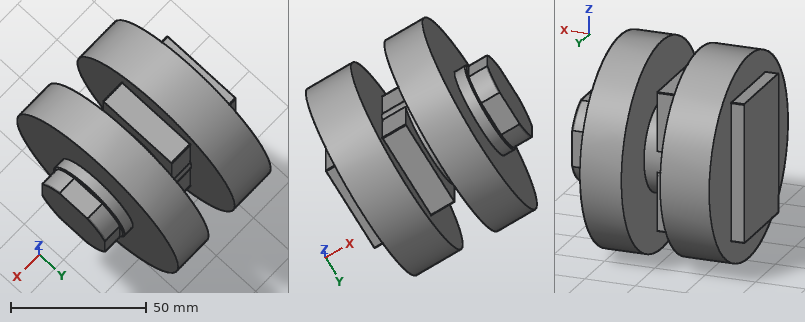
import cadquery as cq

OVERALL_LENGTH = 69.0
ORIGIN_X = -OVERALL_LENGTH / 2

BLOCK_LENGTH = 34.5
BLOCK_WIDTH = 35.0
BLOCK_HEIGHT = 55.0
BLOCK_EDGE_CHAMFER = 0.3

FRONT_DISC_START = 5.0
FRONT_DISC_THICKNESS = 19.5
FRONT_DISC_DIAMETER = 80.0

REAR_DISC_START = 39.5
REAR_DISC_THICKNESS = 16.5
REAR_DISC_DIAMETER = 82.0

BARREL_DIAMETER = 36.0
BARREL_START = FRONT_DISC_START + FRONT_DISC_THICKNESS
BARREL_END = 60.9
BARREL_CHAMFER = 0.5
DRIVE_DIAMETER = 35.0
DRIVE_ACROSS_FLATS = 32.0
DRIVE_CHAMFER_LENGTH = 0.5
DRIVE_CHAMFER_DEPTH = 0.2


def cylinder(diameter, start, length):
    """Round bar along X, from start to start + length."""
    return cq.Workplane("YZ", origin=(ORIGIN_X + start, 0, 0)).circle(diameter / 2).extrude(length)


def make_block_blank():
    """Bar of rectangular section with its four long edges chamfered."""
    bar = cq.Workplane("YZ", origin=(ORIGIN_X, 0, 0)).rect(BLOCK_WIDTH, BLOCK_HEIGHT).extrude(BLOCK_LENGTH)
    return bar.edges("|X").chamfer(BLOCK_EDGE_CHAMFER)


def make_block():
    """Block with a round socket for the end of the barrel, breaking out slightly through both Y sides."""
    socket = cylinder(BARREL_DIAMETER, BARREL_START, BLOCK_LENGTH - BARREL_START)
    return make_block_blank().cut(socket)


def make_front_disc():
    """Disc with a through opening that matches the block."""
    disc = cylinder(FRONT_DISC_DIAMETER, FRONT_DISC_START, FRONT_DISC_THICKNESS)
    return disc.cut(make_block_blank())


def make_rear_disc():
    """Disc with a through bore that matches the barrel."""
    disc = cylinder(REAR_DISC_DIAMETER, REAR_DISC_START, REAR_DISC_THICKNESS)
    return disc.cut(cylinder(BARREL_DIAMETER, REAR_DISC_START, REAR_DISC_THICKNESS))


def make_square_drive():
    """Round stub, chamfered at its free end, with four flats."""
    length = OVERALL_LENGTH - BARREL_END
    stub = cylinder(DRIVE_DIAMETER, BARREL_END, length)
    stub = stub.faces(">X").chamfer(DRIVE_CHAMFER_LENGTH, DRIVE_CHAMFER_DEPTH)
    square = cq.Workplane("YZ", origin=(ORIGIN_X + BARREL_END, 0, 0))
    square = square.rect(DRIVE_ACROSS_FLATS, DRIVE_ACROSS_FLATS).extrude(length)
    return stub.intersect(square)


def make_shaft():
    """Barrel and square drive in one piece."""
    barrel = cylinder(BARREL_DIAMETER, BARREL_START, BARREL_END - BARREL_START)
    barrel = barrel.faces(">X").chamfer(BARREL_CHAMFER)
    return barrel.union(make_square_drive())


block = make_block()
front_disc = make_front_disc()
rear_disc = make_rear_disc()
shaft = make_shaft()

result = cq.Compound.makeCompound([block.val(), front_disc.val(), rear_disc.val(), shaft.val()])